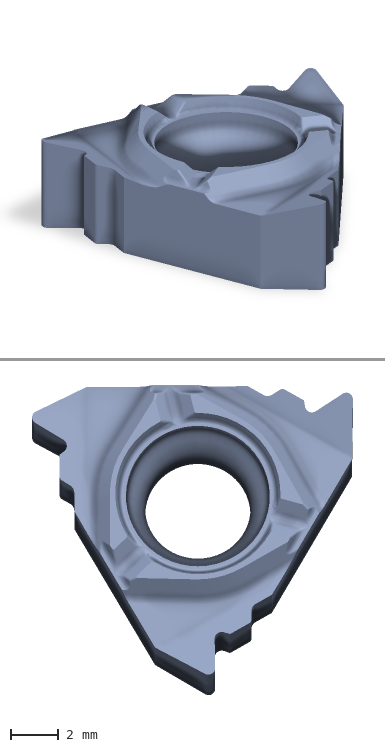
import cadquery as cq
import math

CORNERS = 3
FULL_TURN = 360.0
CORNER_ANGLE = FULL_TURN / CORNERS
MARGIN = 1.0
DOWN = 270.0
TOLERANCE = 0.01

INSCRIBED_RADIUS = 9.525 / 2
TOP_Z = 4.2
FLOOR_Z = 3.37

TIP_X = -3.335
TIP_Y = -6.64
TIP_RADIUS = 0.28
FLANK_ANGLE = 29.0
ROOT_X = -2.19
ROOT_RADIUS = 0.3
ROOT_EXIT_ANGLE = 40.0
STEP_LOW_Y = -5.775
STEP_HIGH_Y = -5.165
STEP_END_X = -0.86
STEP_SLOPE = 60.0
STEP_OUTER_RADIUS = 0.178
STEP_INNER_RADIUS = 0.34

RAKE_ANGLE = 15.0
RAKE_BLEND_RADIUS = 0.5

ISLAND_TOP_RADIUS = 3.676
ISLAND_SLOPE = 50.0
ISLAND_FOOT_RADIUS = 0.4
ISLAND_ARC_ANGLE = 31.5

BORE_RADIUS = 4.4 / 2
SEAT_START_Z = 1.315
SEAT_ANGLE = 45.0
SEAT_RADIUS = 2.25
SEAT_BLEND_RADIUS = 0.5
RECESS_Z = 3.71
RECESS_WALL_ANGLE = 70.0
LEDGE_OUTER_RADIUS = 3.135
LEDGE_BLEND_RADIUS = 0.2

FLANK_LEDGE_WIDTH = 0.11
FLANK_LEDGE_BLEND = 0.26
FLANK_LEDGE_OFFSET = -0.8
FLANK_LEDGE_LENGTH = 4.0

SLOT_DIRECTION = 194.2
SLOT_FLOOR_Z = RECESS_Z
SLOT_FLOOR_WIDTH = 0.08
SLOT_WALL_ANGLE = 40.0
SLOT_BLEND_RADIUS = 0.3
MOUTH_RADIUS = 0.1
MOUTH_EDGE_RISE = 0.05
MOUTH_EDGE_CLEARANCE = 0.1


def sin(angle):
    return math.sin(math.radians(angle))


def cos(angle):
    return math.cos(math.radians(angle))


def tan(angle):
    return math.tan(math.radians(angle))


def on_circle(x, y, radius, angle):
    return (x + radius * cos(angle), y + radius * sin(angle))


def turned(point, angle):
    x, y = point
    return (x * cos(angle) - y * sin(angle), x * sin(angle) + y * cos(angle))


def repeated(shape):
    """Join copies of a shape at each corner of the insert."""
    copies = shape
    for index in range(1, CORNERS):
        copies = copies.union(shape.rotate((0, 0, 0), (0, 0, 1), index * CORNER_ANGLE))
    return copies


def tooth_outline():
    """Tooth outline as (through point or None, end point) pieces from one flank to the next."""
    tip_left = on_circle(TIP_X, TIP_Y, TIP_RADIUS, 180 + FLANK_ANGLE)
    tip_end = on_circle(TIP_X, TIP_Y, TIP_RADIUS, DOWN)
    tip_right = on_circle(TIP_X, TIP_Y, TIP_RADIUS, -FLANK_ANGLE)
    corner = (-INSCRIBED_RADIUS, tip_left[1] + (tip_left[0] + INSCRIBED_RADIUS) / tan(FLANK_ANGLE))

    root_start_x = ROOT_X - ROOT_RADIUS * cos(FLANK_ANGLE)
    root_start_y = tip_right[1] + (root_start_x - tip_right[0]) / tan(FLANK_ANGLE)
    root_y = root_start_y - ROOT_RADIUS * sin(FLANK_ANGLE)
    root_top = on_circle(ROOT_X, root_y, ROOT_RADIUS, 90)
    root_end = on_circle(ROOT_X, root_y, ROOT_RADIUS, ROOT_EXIT_ANGLE)
    land_start = (root_end[0] + (root_end[1] - STEP_LOW_Y) * tan(ROOT_EXIT_ANGLE), STEP_LOW_Y)

    land_end = (STEP_END_X, STEP_LOW_Y)
    outer_y = STEP_LOW_Y + STEP_OUTER_RADIUS
    outer_mid = on_circle(STEP_END_X, outer_y, STEP_OUTER_RADIUS, STEP_SLOPE / 2 - 90)
    outer_end = on_circle(STEP_END_X, outer_y, STEP_OUTER_RADIUS, STEP_SLOPE - 90)
    inner_y = STEP_HIGH_Y - STEP_INNER_RADIUS
    inner_start_y = inner_y + STEP_INNER_RADIUS * cos(STEP_SLOPE)
    inner_start = (outer_end[0] + (inner_start_y - outer_end[1]) / tan(STEP_SLOPE), inner_start_y)
    inner_x = inner_start[0] + STEP_INNER_RADIUS * sin(STEP_SLOPE)
    inner_mid = on_circle(inner_x, inner_y, STEP_INNER_RADIUS, 90 + STEP_SLOPE / 2)
    inner_end = (inner_x, STEP_HIGH_Y)
    flank_normal = -CORNER_ANGLE / 2
    next_flank_x = (INSCRIBED_RADIUS - STEP_HIGH_Y * sin(flank_normal)) / cos(flank_normal)

    return [
        (None, corner),
        (None, tip_left),
        (tip_end, tip_right),
        (None, (root_start_x, root_start_y)),
        (root_top, root_end),
        (None, land_start),
        (None, land_end),
        (outer_mid, outer_end),
        (None, inner_start),
        (inner_mid, inner_end),
        (None, (next_flank_x, STEP_HIGH_Y)),
    ]


def outline_prism(height):
    pieces = tooth_outline()
    outline = cq.Workplane("XY").moveTo(*pieces[0][1])
    for index in range(CORNERS):
        angle = index * CORNER_ANGLE
        remaining = pieces[1:] if index == 0 else pieces
        for through, end in remaining:
            if through is None:
                outline = outline.lineTo(*turned(end, angle))
            else:
                outline = outline.threePointArc(turned(through, angle), turned(end, angle))
    return outline.close().extrude(height)


def rake_wedge():
    """Rising face of the tooth that points toward -Y, blended into the floor."""
    start_y = tooth_outline()[0][1][1]
    end_y = TIP_Y - TIP_RADIUS - MARGIN
    blend = RAKE_BLEND_RADIUS
    mid = (start_y - blend * sin(RAKE_ANGLE / 2), FLOOR_Z + blend * (1 - cos(RAKE_ANGLE / 2)))
    blend_end = (start_y - blend * sin(RAKE_ANGLE), FLOOR_Z + blend * (1 - cos(RAKE_ANGLE)))
    end_z = blend_end[1] + (blend_end[0] - end_y) * tan(RAKE_ANGLE)
    profile = (
        cq.Workplane("YZ")
        .moveTo(start_y, 0)
        .lineTo(start_y, FLOOR_Z)
        .threePointArc(mid, blend_end)
        .lineTo(end_y, end_z)
        .lineTo(end_y, 0)
        .close()
    )
    return profile.extrude(2 * INSCRIBED_RADIUS, both=True)


def island():
    """Raised island: arcs about the bore joined by tangent lines that meet at corners."""
    height = TOP_Z - FLOOR_Z
    foot = ISLAND_TOP_RADIUS + height / tan(ISLAND_SLOPE)
    arc_start = DOWN - ISLAND_ARC_ANGLE
    half_gap = (CORNER_ANGLE - ISLAND_ARC_ANGLE) / 2
    outline = cq.Workplane("XY", origin=(0, 0, FLOOR_Z)).moveTo(*on_circle(0, 0, foot, arc_start))
    for index in range(CORNERS):
        angle = index * CORNER_ANGLE
        arc_mid = on_circle(0, 0, foot, DOWN - ISLAND_ARC_ANGLE / 2 + angle)
        arc_end = on_circle(0, 0, foot, DOWN + angle)
        corner = on_circle(0, 0, foot / cos(half_gap), DOWN + half_gap + angle)
        outline = outline.threePointArc(arc_mid, arc_end).lineTo(*corner)
        if index < CORNERS - 1:
            outline = outline.lineTo(*on_circle(0, 0, foot, arc_start + angle + CORNER_ANGLE))
    return outline.close().extrude(height, taper=90 - ISLAND_SLOPE)


def is_island_foot(edge):
    """True for edges on the floor that lie closer to the bore than the flanks do."""
    middle = edge.Center()
    on_floor = all(abs(point.z - FLOOR_Z) < TOLERANCE for point in (edge.startPoint(), edge.endPoint()))
    return on_floor and math.hypot(middle.x, middle.y) < INSCRIBED_RADIUS - TOLERANCE


def body():
    """Outline with the island blended into the floor and the three rising rake faces."""
    outline = outline_prism(TOP_Z)
    base = outline_prism(FLOOR_Z).union(island().intersect(outline))
    foot_edges = [edge for edge in base.edges().vals() if is_island_foot(edge)]
    base = base.newObject(foot_edges).fillet(ISLAND_FOOT_RADIUS)
    return base.union(repeated(rake_wedge()).intersect(outline))


def blend_from_ledge(start, radius):
    """Middle and end of the arc that turns a ledge up into the wall above it."""
    def arc_point(angle):
        return (start + radius * sin(angle), RECESS_Z + radius * (1 - cos(angle)))

    return arc_point(RECESS_WALL_ANGLE / 2), arc_point(RECESS_WALL_ANGLE)


def bore():
    """Turned shape of the hole: bore, curved seat, recess and ledge."""
    half = SEAT_ANGLE / 2
    seat_mid = (BORE_RADIUS + SEAT_RADIUS * (1 - cos(half)), SEAT_START_Z + SEAT_RADIUS * sin(half))
    seat_end = (
        BORE_RADIUS + SEAT_RADIUS * (1 - cos(SEAT_ANGLE)),
        SEAT_START_Z + SEAT_RADIUS * sin(SEAT_ANGLE),
    )
    recess_radius = seat_end[0] + SEAT_BLEND_RADIUS * (1 - cos(SEAT_ANGLE))
    recess_start_z = seat_end[1] + SEAT_BLEND_RADIUS * sin(SEAT_ANGLE)
    blend_x = recess_radius - SEAT_BLEND_RADIUS
    blend_mid = on_circle(blend_x, recess_start_z, SEAT_BLEND_RADIUS, -half)

    ledge_mid, ledge_end = blend_from_ledge(LEDGE_OUTER_RADIUS, LEDGE_BLEND_RADIUS)
    above_z = TOP_Z + MARGIN
    above_radius = ledge_end[0] + (above_z - ledge_end[1]) / tan(RECESS_WALL_ANGLE)
    profile = (
        cq.Workplane("XZ")
        .moveTo(0, -MARGIN)
        .lineTo(BORE_RADIUS, -MARGIN)
        .lineTo(BORE_RADIUS, SEAT_START_Z)
        .threePointArc(seat_mid, seat_end)
        .threePointArc(blend_mid, (recess_radius, recess_start_z))
        .lineTo(recess_radius, RECESS_Z)
        .lineTo(LEDGE_OUTER_RADIUS, RECESS_Z)
        .threePointArc(ledge_mid, ledge_end)
        .lineTo(above_radius, above_z)
        .lineTo(0, above_z)
        .close()
    )
    return profile.revolve(FULL_TURN, (0, 0, 0), (0, 1, 0))


def flank_ledge():
    """Cut that sets the island back from the flank facing -X."""
    ledge_start = -INSCRIBED_RADIUS + FLANK_LEDGE_WIDTH
    mid, end = blend_from_ledge(ledge_start, FLANK_LEDGE_BLEND)
    above_z = TOP_Z + MARGIN
    above_x = end[0] + (above_z - end[1]) / tan(RECESS_WALL_ANGLE)
    outside_x = -INSCRIBED_RADIUS - MARGIN
    profile = (
        cq.Workplane("XZ")
        .moveTo(outside_x, RECESS_Z)
        .lineTo(ledge_start, RECESS_Z)
        .threePointArc(mid, end)
        .lineTo(above_x, above_z)
        .lineTo(outside_x, above_z)
        .close()
    )
    return profile.extrude(FLANK_LEDGE_LENGTH / 2, both=True).translate((0, FLANK_LEDGE_OFFSET, 0))


def slot():
    """Radial slot with sloping walls blended into a narrow floor."""
    floor = SLOT_FLOOR_WIDTH / 2
    radius = SLOT_BLEND_RADIUS
    half = SLOT_WALL_ANGLE / 2
    above_z = TOP_Z + MARGIN
    mid = (floor + radius * sin(half), SLOT_FLOOR_Z + radius * (1 - cos(half)))
    end = (floor + radius * sin(SLOT_WALL_ANGLE), SLOT_FLOOR_Z + radius * (1 - cos(SLOT_WALL_ANGLE)))
    above = end[0] + (above_z - end[1]) / tan(SLOT_WALL_ANGLE)
    profile = (
        cq.Workplane("YZ")
        .moveTo(-floor, SLOT_FLOOR_Z)
        .lineTo(floor, SLOT_FLOOR_Z)
        .threePointArc(mid, end)
        .lineTo(above, above_z)
        .lineTo(-above, above_z)
        .lineTo(-end[0], end[1])
        .threePointArc((-mid[0], mid[1]), (-floor, SLOT_FLOOR_Z))
        .close()
    )
    cut = profile.extrude(INSCRIBED_RADIUS + MARGIN)
    return cut.rotate((0, 0, 0), (0, 0, 1), SLOT_DIRECTION)


def is_mouth_edge(edge):
    """True for edges that climb from a slot or flank ledge: along the bore recess or near a flank."""
    low, high = sorted((edge.startPoint(), edge.endPoint()), key=lambda point: point.z)
    low_radius = math.hypot(low.x, low.y)
    climbs = high.z - low.z > MOUTH_EDGE_RISE
    is_high = low.z > RECESS_Z + MOUTH_EDGE_CLEARANCE
    on_bore = edge.geomType() == "ELLIPSE" and low_radius < ISLAND_TOP_RADIUS
    on_flank = edge.geomType() == "LINE" and ISLAND_TOP_RADIUS < low_radius < INSCRIBED_RADIUS
    return climbs and is_high and (on_bore or on_flank)


def insert():
    """Body with every cut made and the slot mouths rounded."""
    cut_body = body().cut(repeated(flank_ledge())).cut(repeated(slot())).cut(bore())
    mouth_edges = [edge for edge in cut_body.edges().vals() if is_mouth_edge(edge)]
    return cut_body.newObject(mouth_edges).fillet(MOUTH_RADIUS).solids()


result = insert()